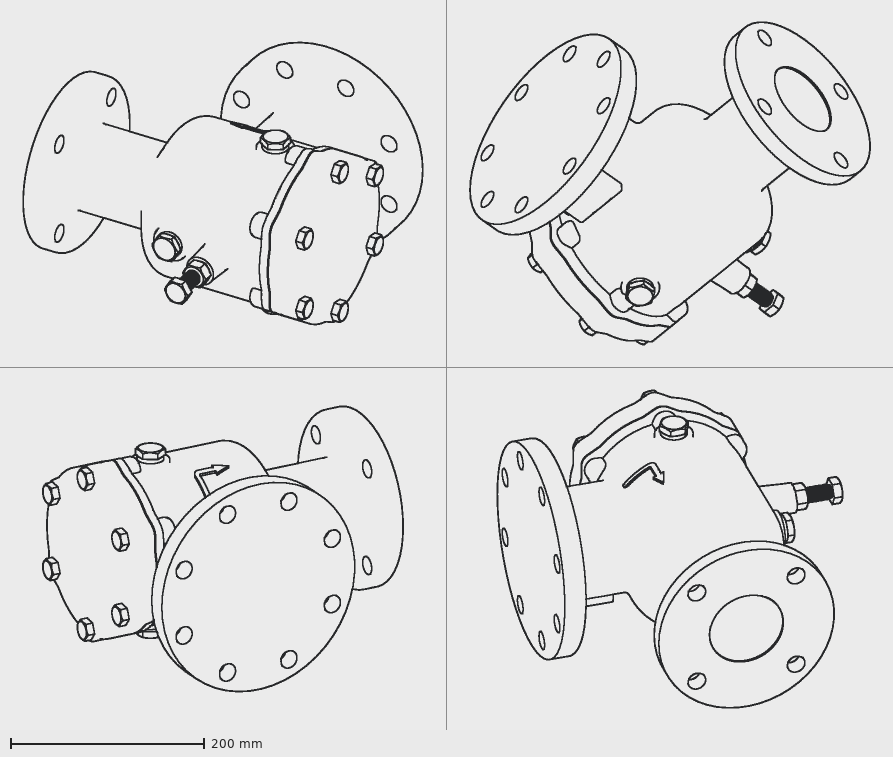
import cadquery as cq
import math

INLET_FLANGE_R = 95.25
INLET_FLANGE_T = 19.5
INLET_HOLE_CIRCLE_R = 76.2
INLET_HOLE_COUNT = 4
INLET_HOLE_FIRST_ANGLE = 45.0
INLET_RECESS_R = 40.0
INLET_RECESS_DEPTH = 2.0
FLANGE_HOLE_D = 19.0
FLANGE_RIM_FILLET = 4.0
FLANGE_NECK_FILLET = 7.5
NECK_R = 46.75
BARREL_R = 86.25
SHOULDER_START_X = 112.8
SHOULDER_ANGLE = 60.0
SHOULDER_FILLET = 17.0
SHOULDER_END_X = SHOULDER_START_X + (BARREL_R - NECK_R) / math.tan(math.radians(SHOULDER_ANGLE))

OUTLET_X = 212.0
OUTLET_FACE_Y = 166.0
OUTLET_FLANGE_R = 114.5
OUTLET_FLANGE_T = 24.2
OUTLET_HOLE_CIRCLE_R = 95.25
OUTLET_HOLE_COUNT = 8
OUTLET_PIPE_R = 59.0
OUTLET_JOINT_FILLET = 8.0

PAD_LENGTH_X = 62.0
PAD_MIN_Y = 86.0
PAD_MAX_Y = 123.0
PAD_BOTTOM_Z = -60.2
PAD_CORNER_FILLET = 2.5
PAD_EDGE_FILLET = 2.0

BOLT_COUNT = 6
BOLT_FIRST_ANGLE = 30.0
BOLT_CIRCLE_R = 84.0
LOBE_R = 13.75
RIM_R = 90.5
RIM_CORNER_FILLET = 7.0
HOUSING_FLANGE_X = 278.0
GASKET_X = 288.8
GASKET_T = 1.1
COVER_X = GASKET_X + GASKET_T
COVER_FACE_X = 319.0
HOUSING_FLANGE_FILLET = 3.0
COVER_EDGE_FILLET = 2.0
BOLT_BOSS_X = 263.0
BOLT_BOSS_R = 13.5
BOLT_BOSS_FILLET = 6.0
DOME_TOP_X = 326.0
DOME_R = 105.0
BOLT_END_X = 327.73
BOLT_AF = 20.0
BOLT_SPIN = -8.0

PLUG_BOSS_R = 20.0
PLUG_BOSS_TOP = 91.4
PLUG_BOSS_EDGE = 1.0
PLUG_BOSS_FILLET = 2.5
PLUG_COLLAR_R = 14.0
PLUG_HEAD_START = 96.0
PLUG_HEAD_END = 103.8
PLUG_AF = 27.0
SIDE_PLUG_X = 173.5
CROWN_PLUG_X = 246.3

ADJUSTER_X = 227.2
ADJUSTER_BASE_R = 17.6
ADJUSTER_TIP_R = 15.9
ADJUSTER_TAPER_END = 115.8
ADJUSTER_TOP = 122.8
ADJUSTER_FILLET = 2.5
NUT_END = 136.0
SCREW_END = 173.61
SCREW_HEAD_T = 10.0
SCREW_HEAD_START = SCREW_END - SCREW_HEAD_T
SCREW_AF = 24.0
THREAD_R = 8.0
THREAD_DEPTH = 1.0
THREAD_PITCH = 2.0

ARROW_HEIGHT = 2.0
ARROW_HALF_WIDTH = 2.7
ARROW_Y = 34.7
ARROW_TAIL_Y = 70.0
ARROW_TIP_X = 173.2
ARROW_HEAD_X = 190.0
ARROW_HEAD_HALF_WIDTH = 5.7
ARROW_BEND_R = 4.0

HEX_CHAMFER_ANGLE = 30.0
HEX_FACE_RATIO = 0.95
BURIED = 75.0
ROOT_DEPTH = 80.0
CLEARANCE = 0.1


def disc_x(x0, x1, radius):
    """Cylinder on the X axis from x0 to x1."""
    return cq.Workplane("YZ", origin=(x0, 0, 0)).circle(radius).extrude(x1 - x0)


def hex_prism(across_flats, z0, z1, both_ends=False):
    """Hexagon along Z with corners on the X axis and its far end (or both ends) chamfered."""
    corner_r = across_flats / math.sqrt(3)
    radial = corner_r - HEX_FACE_RATIO * across_flats / 2
    axial = radial * math.tan(math.radians(HEX_CHAMFER_ANGLE))
    blank = cq.Workplane("XY", origin=(0, 0, z0)).circle(corner_r).extrude(z1 - z0)
    blank = blank.faces("|Z" if both_ends else ">Z").chamfer(axial, radial)
    prism = cq.Workplane("XY", origin=(0, 0, z0)).polygon(6, 2 * corner_r).extrude(z1 - z0)
    return prism.intersect(blank)


def toward_minus_y(body, x):
    """Turn a body built along +Z to point along -Y, at the given X."""
    return body.rotate((0, 0, 0), (1, 0, 0), 90).translate((x, 0, 0))


def bolt_places():
    """(y, z) of each bolt."""
    step = 360 / BOLT_COUNT
    angles = [math.radians(BOLT_FIRST_ANGLE + step * i) for i in range(BOLT_COUNT)]
    return [(BOLT_CIRCLE_R * math.cos(a), BOLT_CIRCLE_R * math.sin(a)) for a in angles]


def joint_slab(x0, x1):
    """Six-lobed slab of the bolted joint: a rounded hexagon joined with a slightly proud disc."""
    slab = cq.Workplane("YZ", origin=(x0, 0, 0)).polyline(bolt_places()).close().offset2D(LOBE_R)
    slab = slab.extrude(x1 - x0).union(disc_x(x0, x1, RIM_R))

    def at_notch(edge):
        c = edge.Center()
        return edge.geomType() == "LINE" and math.hypot(c.y, c.z) < RIM_R + CLEARANCE

    notches = [e for e in slab.edges("|X").vals() if at_notch(e)]
    return slab.newObject(notches).fillet(RIM_CORNER_FILLET)


def within(body, x, y, z):
    """Edges of the body lying wholly inside the given (low, high) ranges."""
    box = cq.selectors.BoxSelector((x[0], y[0], z[0]), (x[1], y[1], z[1]), boundingbox=True)
    return body.edges(box)


def make_barrel():
    """Inlet flange, neck, shoulder and barrel as one turned shape."""
    turn = math.radians(SHOULDER_ANGLE)
    sweep = SHOULDER_FILLET * math.sin(turn)
    drop = SHOULDER_FILLET * (1 - math.cos(turn))
    half_sweep = SHOULDER_FILLET * math.sin(turn / 2)
    half_drop = SHOULDER_FILLET * (1 - math.cos(turn / 2))
    tangent = SHOULDER_FILLET * math.tan(turn / 2)
    start_x = SHOULDER_START_X - tangent
    end_x = SHOULDER_END_X + tangent
    rim_mid = FLANGE_RIM_FILLET * (1 - math.sqrt(0.5))
    neck_mid = FLANGE_NECK_FILLET * (1 - math.sqrt(0.5))
    barrel = (
        cq.Workplane("XY")
        .lineTo(0, INLET_FLANGE_R)
        .lineTo(INLET_FLANGE_T - FLANGE_RIM_FILLET, INLET_FLANGE_R)
        .threePointArc(
            (INLET_FLANGE_T - rim_mid, INLET_FLANGE_R - rim_mid),
            (INLET_FLANGE_T, INLET_FLANGE_R - FLANGE_RIM_FILLET),
        )
        .lineTo(INLET_FLANGE_T, NECK_R + FLANGE_NECK_FILLET)
        .threePointArc(
            (INLET_FLANGE_T + neck_mid, NECK_R + neck_mid),
            (INLET_FLANGE_T + FLANGE_NECK_FILLET, NECK_R),
        )
        .lineTo(start_x, NECK_R)
        .threePointArc((start_x + half_sweep, NECK_R + half_drop), (start_x + sweep, NECK_R + drop))
        .lineTo(end_x - sweep, BARREL_R - drop)
        .threePointArc((end_x - half_sweep, BARREL_R - half_drop), (end_x, BARREL_R))
        .lineTo(GASKET_X, BARREL_R)
        .lineTo(GASKET_X, 0)
        .close()
    )
    return barrel.revolve(360, (0, 0, 0), (1, 0, 0))


def inlet_cuts():
    """Bolt holes and shallow central recess of the inlet flange."""
    holes = cq.Workplane("YZ").polarArray(
        INLET_HOLE_CIRCLE_R, INLET_HOLE_FIRST_ANGLE, 360, INLET_HOLE_COUNT
    )
    holes = holes.circle(FLANGE_HOLE_D / 2).extrude(INLET_FLANGE_T)
    return holes.union(disc_x(0, INLET_RECESS_DEPTH, INLET_RECESS_R))


def make_outlet():
    """Outlet flange and the pipe that carries it, reaching in to the barrel axis."""
    face = cq.Workplane("XZ", origin=(OUTLET_X, OUTLET_FACE_Y, 0))
    flange = face.circle(OUTLET_FLANGE_R).extrude(OUTLET_FLANGE_T)
    flange = flange.faces("<Y").edges().fillet(FLANGE_RIM_FILLET)
    outlet = flange.union(face.circle(OUTLET_PIPE_R).extrude(OUTLET_FACE_Y))
    back_y = OUTLET_FACE_Y - OUTLET_FLANGE_T
    reach = OUTLET_PIPE_R + 1
    root = within(
        outlet,
        (OUTLET_X - reach, OUTLET_X + reach),
        (back_y - CLEARANCE, back_y + CLEARANCE),
        (-reach, reach),
    )
    outlet = root.fillet(FLANGE_NECK_FILLET)
    first_angle = 180 / OUTLET_HOLE_COUNT
    holes = face.polarArray(OUTLET_HOLE_CIRCLE_R, first_angle, 360, OUTLET_HOLE_COUNT)
    return outlet.cut(holes.circle(FLANGE_HOLE_D / 2).extrude(OUTLET_FLANGE_T))


def make_pad():
    """Flat cast pad standing just proud of the underside of the outlet pipe."""
    mid_y = (PAD_MIN_Y + PAD_MAX_Y) / 2
    pad = cq.Workplane("XY", origin=(OUTLET_X, mid_y, PAD_BOTTOM_Z))
    pad = pad.rect(PAD_LENGTH_X, PAD_MAX_Y - PAD_MIN_Y).extrude(-PAD_BOTTOM_Z)
    return pad.edges("|Z").fillet(PAD_CORNER_FILLET).faces("<Z").edges().fillet(PAD_EDGE_FILLET)


def make_bolt_bosses():
    """Round bosses behind the housing flange, one for each bolt."""
    length = HOUSING_FLANGE_X + HOUSING_FLANGE_FILLET - BOLT_BOSS_X
    bosses = cq.Workplane("YZ", origin=(BOLT_BOSS_X, 0, 0)).pushPoints(bolt_places())
    bosses = bosses.circle(BOLT_BOSS_R).extrude(length)
    return bosses.faces("<X").edges().fillet(BOLT_BOSS_FILLET)


def plug_boss():
    """Round boss under a plug, built along +Z."""
    boss = cq.Workplane("XY", origin=(0, 0, BURIED)).circle(PLUG_BOSS_R).extrude(PLUG_BOSS_TOP - BURIED)
    return boss.faces(">Z").edges().fillet(PLUG_BOSS_EDGE)


def plug():
    """Plug collar and hexagon head, built along +Z."""
    collar = cq.Workplane("XY", origin=(0, 0, BURIED)).circle(PLUG_COLLAR_R)
    collar = collar.extrude(PLUG_HEAD_START - BURIED)
    return collar.union(hex_prism(PLUG_AF, PLUG_HEAD_START, PLUG_HEAD_END))


def adjuster_boss():
    """Tapered boss that carries the adjusting screw, built along +Z."""
    profile = [
        (0, BURIED),
        (ADJUSTER_BASE_R, BURIED),
        (ADJUSTER_BASE_R, BARREL_R),
        (ADJUSTER_TIP_R, ADJUSTER_TAPER_END),
        (ADJUSTER_TIP_R, ADJUSTER_TOP),
        (0, ADJUSTER_TOP),
    ]
    return cq.Workplane("XZ").polyline(profile).close().revolve(360, (0, 0, 0), (0, 1, 0))


def adjusting_screw():
    """Lock nut, ring-grooved shank and hexagon head, built along +Z."""
    root_r = THREAD_R - THREAD_DEPTH
    turns = int((SCREW_HEAD_START - NUT_END) / THREAD_PITCH)
    profile = [(0, NUT_END), (root_r, NUT_END)]
    for i in range(turns):
        groove = NUT_END + i * THREAD_PITCH
        profile += [(THREAD_R, groove + THREAD_PITCH / 2), (root_r, groove + THREAD_PITCH)]
    profile += [(root_r, SCREW_HEAD_START), (0, SCREW_HEAD_START)]
    shank = cq.Workplane("XZ").polyline(profile).close().revolve(360, (0, 0, 0), (0, 1, 0))
    nut = hex_prism(SCREW_AF, ADJUSTER_TOP, NUT_END, both_ends=True)
    return nut.union(shank).union(hex_prism(SCREW_AF, SCREW_HEAD_START, SCREW_END))


def flow_arrow():
    """Bent arrow from the outlet toward the inlet, raised evenly above the barrel."""
    right = OUTLET_X + ARROW_HALF_WIDTH
    left = OUTLET_X - ARROW_HALF_WIDTH
    low = ARROW_Y - ARROW_HALF_WIDTH
    high = ARROW_Y + ARROW_HALF_WIDTH
    inner_r = ARROW_BEND_R - ARROW_HALF_WIDTH
    outer_r = ARROW_BEND_R + ARROW_HALF_WIDTH
    diagonal = math.sqrt(0.5)
    bend_x = OUTLET_X - ARROW_BEND_R
    bend_y = ARROW_Y + ARROW_BEND_R
    arrow = (
        cq.Workplane("XY")
        .moveTo(left, ARROW_TAIL_Y)
        .lineTo(right, ARROW_TAIL_Y)
        .lineTo(right, bend_y)
        .threePointArc((bend_x + outer_r * diagonal, bend_y - outer_r * diagonal), (bend_x, low))
        .lineTo(ARROW_HEAD_X, low)
        .lineTo(ARROW_HEAD_X, ARROW_Y - ARROW_HEAD_HALF_WIDTH)
        .lineTo(ARROW_TIP_X, ARROW_Y)
        .lineTo(ARROW_HEAD_X, ARROW_Y + ARROW_HEAD_HALF_WIDTH)
        .lineTo(ARROW_HEAD_X, high)
        .lineTo(bend_x, high)
        .threePointArc((bend_x + inner_r * diagonal, bend_y - inner_r * diagonal), (left, bend_y))
        .close()
        .extrude(BARREL_R + ARROW_HEIGHT)
    )
    return arrow.intersect(disc_x(0, GASKET_X, BARREL_R + ARROW_HEIGHT))


def make_housing():
    body = make_barrel().union(make_outlet())
    joint = [
        e for e in body.edges().vals()
        if 60 < e.Center().y < 90
        and e.geomType() not in ("LINE", "CIRCLE")
        and abs(e.Center().x - OUTLET_X) < OUTLET_PIPE_R + 2 * OUTLET_JOINT_FILLET
    ]
    body = body.newObject(joint).fillet(OUTLET_JOINT_FILLET)
    body = body.union(make_pad())

    side = toward_minus_y(plug_boss(), SIDE_PLUG_X).union(toward_minus_y(adjuster_boss(), ADJUSTER_X))
    crown = plug_boss().translate((CROWN_PLUG_X, 0, 0))
    crown = crown.union(crown.mirror("XY"))
    body = body.union(side).union(crown)
    reach = PLUG_BOSS_R + 1
    across = (-reach, reach)
    above = (ROOT_DEPTH, BARREL_R + CLEARANCE)
    below = (-BARREL_R - CLEARANCE, -ROOT_DEPTH)
    for x, fillet in ((SIDE_PLUG_X, PLUG_BOSS_FILLET), (ADJUSTER_X, ADJUSTER_FILLET)):
        body = within(body, (x - reach, x + reach), below, across).fillet(fillet)
    for height in (above, below):
        span = (CROWN_PLUG_X - reach, CROWN_PLUG_X + reach)
        body = within(body, span, across, height).fillet(PLUG_BOSS_FILLET)

    rim = joint_slab(HOUSING_FLANGE_X, GASKET_X)
    rim = rim.faces("<X").edges().fillet(HOUSING_FLANGE_FILLET)
    body = body.union(rim).union(make_bolt_bosses())

    body = body.union(toward_minus_y(plug(), SIDE_PLUG_X))
    crown_plug = plug().rotate((0, 0, 0), (0, 0, 1), 90).translate((CROWN_PLUG_X, 0, 0))
    body = body.union(crown_plug).union(crown_plug.mirror("XY"))
    body = body.union(toward_minus_y(adjusting_screw(), ADJUSTER_X))
    return body.union(flow_arrow()).cut(inlet_cuts())


def make_cover():
    """Lobed cover with a shallow dome and the heads of its bolts."""
    cover = joint_slab(COVER_X, COVER_FACE_X).faces(">X").edges().fillet(COVER_EDGE_FILLET)
    rise = DOME_TOP_X - COVER_FACE_X
    base_r = math.sqrt(2 * DOME_R * rise - rise**2)
    mid_r = base_r / 2
    mid_x = DOME_TOP_X - DOME_R + math.sqrt(DOME_R**2 - mid_r**2)
    dome = cq.Workplane("XY").moveTo(COVER_X, 0).lineTo(COVER_X, base_r).lineTo(COVER_FACE_X, base_r)
    dome = dome.threePointArc((mid_x, mid_r), (DOME_TOP_X, 0)).close()
    cover = cover.union(dome.revolve(360, (0, 0, 0), (1, 0, 0)))
    head = hex_prism(BOLT_AF, 0, BOLT_END_X - COVER_FACE_X)
    head = head.rotate((0, 0, 0), (0, 1, 0), 90).rotate((0, 0, 0), (1, 0, 0), 90 + BOLT_SPIN)
    for y, z in bolt_places():
        cover = cover.union(head.translate((COVER_FACE_X, y, z)))
    return cover


housing = make_housing()
gasket = joint_slab(GASKET_X, COVER_X)
cover = make_cover()
result = cq.Compound.makeCompound([housing.val(), gasket.val(), cover.val()])